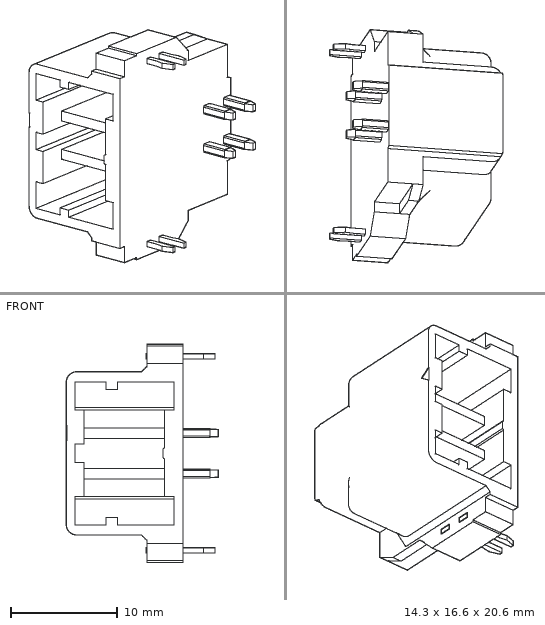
import cadquery as cq


BODY_X = 11.0
BODY_DEPTH = 16.6
WIDE_DEPTH = 12.3
WIDE_HALF_Z = 7.69
NARROW_HALF_Z = 4.7
BODY_RADIUS = 1.0

LIP_LENGTH = 0.5
LIP_ROOT_HALF_Z = 4.15
LIP_END_HALF_Z = 4.0

FLANGE_FRONT_X = 7.59
FLANGE_HALF_Z = 8.47
FLANGE_BACK = BODY_DEPTH - LIP_LENGTH
FLANGE_CHAMFER_Y = 1.95
FLANGE_CHAMFER_Z = 0.99
RAIL_X = 0.99

EAR_HALF_Z = 10.28
EAR_STEP_Z = 0.2
EAR_FRONT = 0.68
EAR_STEP_Y = 2.5
EAR_SLOPE_START = 8.43
EAR_BACK = EAR_SLOPE_START + EAR_HALF_Z - FLANGE_HALF_Z

WEDGE_HALF_Z = 8.18
WEDGE_SIZE = 1.52

POCKET_X0 = 0.85
POCKET_X1 = 10.15
POCKET_INNER_Z = 4.07
POCKET_OUTER_Z = 6.72
POCKET_DEPTH = 11.3
POCKET_DRAFT = 0.23
CENTRE_X0 = 1.69
CENTRE_X1 = 9.25
CENTRE_DEPTH = 9.97
KEYWAY_HALF_Z = 0.86
RIB_X0 = 3.76
RIB_WIDTH = 1.05
RIB_HEIGHT = 0.7
NUB_HEIGHT = 0.155
NUB_ROOT_HALF_Z = 0.51
NUB_TIP_HALF_Z = 0.41

TONGUE_Z = 1.91
TONGUE_THICKNESS = 0.99
TONGUE_FRONT = 2.8

PIN_EMBED = 0.41
PIN_Y = (13.0, 15.98)
PIN_WIDTH_Y = 0.97
PIN_WIDTH_Z = 0.85
PIN_CHAMFER_Y = 0.08
PIN_CHAMFER_Z = 0.15
PIN_SHANK = 2.5
PIN_LENGTH = 3.3
TIP_ROOT_Z = 0.75
TIP_END_Y = 0.41
TIP_END_Z = 0.7

LOCK_Z = 9.13
LOCK_THICKNESS = 0.51
LOCK_CENTRE_Y = 5.2
LEG_INNER = 0.64
LEG_OUTER = 1.17
LEG_BARB = 1.32
LEG_TIP = 0.99
BARB_START = 1.17
BARB_PEAK = 1.93
LEG_LENGTH = 3.0
HEAD_INNER = 0.75
HEAD_WIDTH = 1.15
HEAD_HEIGHT = 0.06

MARK_Z = 1.91
MARK_HALF_Z = 0.72
MARK_LENGTH = 1.05
MARK_DEPTH = 0.06


def box(x0, x1, y0, y1, z0, z1):
    return cq.Workplane("XY").box(x1 - x0, y1 - y0, z1 - z0, centered=False).translate((x0, y0, z0))


def prism_along_x(yz_points, x0, x1):
    return cq.Workplane("YZ").polyline(yz_points).close().extrude(x1 - x0).translate((x0, 0, 0))


def prism_along_y(xz_points, y0, y1):
    return cq.Workplane("XZ").polyline(xz_points).close().extrude(y0 - y1).translate((0, y0, 0))


def both_halves(upper):
    return upper.union(upper.mirror("XY"))


def make_body():
    wide = box(0, BODY_X, 0, WIDE_DEPTH, -WIDE_HALF_Z, WIDE_HALF_Z)
    wide = wide.edges("(<X and (not <Y)) or (|X and >Y)").fillet(BODY_RADIUS)
    narrow = box(0, BODY_X, 0, BODY_DEPTH, -NARROW_HALF_Z, NARROW_HALF_Z)
    narrow = narrow.edges("|Y and <X").fillet(BODY_RADIUS)
    lip_relief = prism_along_x(
        [
            (FLANGE_BACK, LIP_ROOT_HALF_Z),
            (BODY_DEPTH, LIP_END_HALF_Z),
            (BODY_DEPTH, NARROW_HALF_Z),
            (FLANGE_BACK, NARROW_HALF_Z),
        ],
        0,
        BODY_X,
    )
    return wide.union(narrow.cut(both_halves(lip_relief)))


def make_flange():
    upper = [
        (0, FLANGE_HALF_Z),
        (EAR_FRONT, FLANGE_HALF_Z),
        (EAR_FRONT, EAR_HALF_Z - EAR_STEP_Z),
        (EAR_STEP_Y, EAR_HALF_Z - EAR_STEP_Z),
        (EAR_STEP_Y, EAR_HALF_Z),
        (EAR_SLOPE_START, EAR_HALF_Z),
        (EAR_BACK, FLANGE_HALF_Z),
        (FLANGE_BACK - FLANGE_CHAMFER_Y, FLANGE_HALF_Z),
        (FLANGE_BACK, FLANGE_HALF_Z - FLANGE_CHAMFER_Z),
    ]
    lower = [(y, -z) for y, z in reversed(upper)]
    return prism_along_x(upper + lower, FLANGE_FRONT_X, BODY_X)


def make_rail_step():
    upper = box(
        FLANGE_FRONT_X + RAIL_X,
        BODY_X,
        EAR_BACK,
        FLANGE_BACK,
        FLANGE_HALF_Z - FLANGE_CHAMFER_Z,
        FLANGE_HALF_Z,
    )
    return both_halves(upper)


def make_wedges():
    upper = prism_along_y(
        [
            (FLANGE_FRONT_X, WEDGE_HALF_Z),
            (FLANGE_FRONT_X - WEDGE_SIZE, WEDGE_HALF_Z - WEDGE_SIZE),
            (FLANGE_FRONT_X, WEDGE_HALF_Z - WEDGE_SIZE),
        ],
        0,
        WIDE_DEPTH,
    )
    return both_halves(upper)


def make_cavity():
    centre = box(CENTRE_X0, CENTRE_X1, 0, CENTRE_DEPTH, -POCKET_INNER_Z, POCKET_INNER_Z)
    keyway = box(POCKET_X0, CENTRE_X0, 0, CENTRE_DEPTH, -KEYWAY_HALF_Z, KEYWAY_HALF_Z)
    nub = prism_along_y(
        [
            (CENTRE_X1, NUB_ROOT_HALF_Z),
            (CENTRE_X1 - NUB_HEIGHT, NUB_TIP_HALF_Z),
            (CENTRE_X1 - NUB_HEIGHT, -NUB_TIP_HALF_Z),
            (CENTRE_X1, -NUB_ROOT_HALF_Z),
        ],
        0,
        CENTRE_DEPTH,
    )
    pocket = prism_along_x(
        [
            (0, POCKET_INNER_Z),
            (CENTRE_DEPTH, POCKET_INNER_Z),
            (POCKET_DEPTH, POCKET_INNER_Z + POCKET_DRAFT),
            (POCKET_DEPTH, POCKET_OUTER_Z),
            (0, POCKET_OUTER_Z),
        ],
        POCKET_X0,
        POCKET_X1,
    )
    rib = box(RIB_X0, RIB_X0 + RIB_WIDTH, 0, POCKET_DEPTH, POCKET_OUTER_Z - RIB_HEIGHT, POCKET_OUTER_Z)
    tongue = box(
        CENTRE_X0,
        CENTRE_X1,
        TONGUE_FRONT,
        CENTRE_DEPTH,
        TONGUE_Z - TONGUE_THICKNESS / 2,
        TONGUE_Z + TONGUE_THICKNESS / 2,
    )
    open_space = centre.union(keyway).union(both_halves(pocket))
    return open_space.cut(nub).cut(both_halves(rib)).cut(both_halves(tongue))


def make_pin(y, z):
    half_y = PIN_WIDTH_Y / 2
    half_z = PIN_WIDTH_Z / 2
    flat_y = half_y - PIN_CHAMFER_Y
    flat_z = half_z - PIN_CHAMFER_Z
    section = [
        (flat_y, half_z),
        (half_y, flat_z),
        (half_y, -flat_z),
        (flat_y, -half_z),
        (-flat_y, -half_z),
        (-half_y, -flat_z),
        (-half_y, flat_z),
        (-flat_y, half_z),
    ]
    shank = prism_along_x(section, -PIN_EMBED, PIN_SHANK)
    tip = (
        cq.Workplane("YZ", origin=(PIN_SHANK, 0, 0))
        .rect(PIN_WIDTH_Y, TIP_ROOT_Z)
        .workplane(offset=PIN_LENGTH - PIN_SHANK)
        .rect(TIP_END_Y, TIP_END_Z)
        .loft(combine=True)
    )
    return shank.union(tip).translate((BODY_X, y, z))


def make_board_lock():
    leg = (
        cq.Workplane("XY")
        .polyline(
            [
                (-PIN_EMBED, LEG_INNER),
                (-PIN_EMBED, LEG_OUTER),
                (BARB_START, LEG_OUTER),
                (BARB_PEAK, LEG_BARB),
                (LEG_LENGTH, LEG_TIP),
                (LEG_LENGTH, LEG_INNER),
            ]
        )
        .close()
        .extrude(LOCK_THICKNESS / 2, both=True)
        .translate((BODY_X, 0, 0))
    )
    head = box(
        FLANGE_FRONT_X - HEAD_HEIGHT,
        FLANGE_FRONT_X + PIN_EMBED,
        HEAD_INNER,
        HEAD_INNER + HEAD_WIDTH,
        -LOCK_THICKNESS / 2,
        LOCK_THICKNESS / 2,
    )
    half = leg.union(head)
    return half.union(half.mirror("XZ")).translate((0, LOCK_CENTRE_Y, LOCK_Z))


def make_mark():
    triangle = [
        (0, MARK_Z + MARK_HALF_Z),
        (MARK_LENGTH, MARK_Z),
        (0, MARK_Z - MARK_HALF_Z),
    ]
    return prism_along_x(triangle, 0, MARK_DEPTH)


result = make_body().union(make_flange()).union(make_wedges())
result = result.cut(make_rail_step()).cut(make_cavity()).cut(make_mark())
for pin_y in PIN_Y:
    for pin_z in (-TONGUE_Z, TONGUE_Z):
        result = result.union(make_pin(pin_y, pin_z))
result = result.union(both_halves(make_board_lock()))